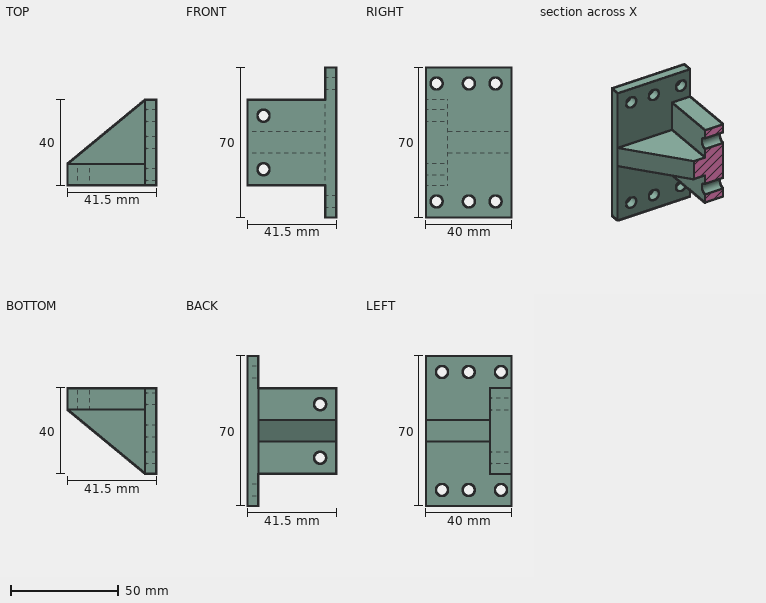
import cadquery as cq

length = 41.5
depth = 40.0
height = 70.0

plate_thickness = 5.2
arm_thickness = 10.0
arm_height = 40.0
gusset_thickness = 10.0

hole_diameter = 5.5
arm_hole_x = 7.55
arm_hole_spacing = 25.0
plate_hole_depths = (5.0, 20.0, 32.5)
plate_hole_edge_distance = 7.5

plate_x = length - plate_thickness


def centred_block(x_start, x_size, y_size, z_size):
    """Block starting at the outer face, centred on mid height."""
    block = cq.Workplane("XY").box(x_size, y_size, z_size, centered=(False, False, True))
    return block.translate((x_start, 0, 0))


def gusset():
    """Triangular rib bracing the plate against the back of the arm."""
    return (
        cq.Workplane("XY")
        .moveTo(0, arm_thickness)
        .lineTo(plate_x, arm_thickness)
        .lineTo(plate_x, depth)
        .close()
        .extrude(gusset_thickness / 2, both=True)
    )


def arm_holes():
    """Cutters through the arm along Y."""
    places = [(arm_hole_x, side * arm_hole_spacing / 2) for side in (-1, 1)]
    return (
        cq.Workplane("XZ")
        .pushPoints(places)
        .circle(hole_diameter / 2)
        .extrude(-arm_thickness)
    )


def plate_holes():
    """Cutters through the plate along X, in a row near each end."""
    row_z = height / 2 - plate_hole_edge_distance
    places = [(y, side * row_z) for y in plate_hole_depths for side in (-1, 1)]
    return (
        cq.Workplane("YZ", origin=(plate_x, 0, 0))
        .pushPoints(places)
        .circle(hole_diameter / 2)
        .extrude(plate_thickness)
    )


plate = centred_block(plate_x, plate_thickness, depth, height)
arm = centred_block(0, plate_x, arm_thickness, arm_height)

result = plate.union(arm).union(gusset()).cut(arm_holes()).cut(plate_holes())